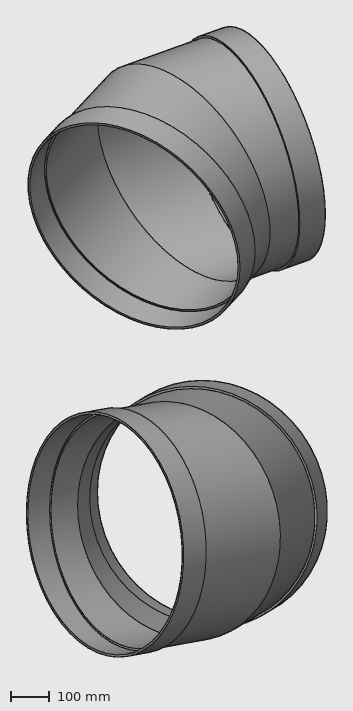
import cadquery as cq
import math

overall_length = 721.5
bend_angle = 30.0
collar_diameter = 642.0
pipe_diameter = 630.0
bore_diameter = 618.0
socket_diameter = pipe_diameter
collar_length = 76.0
socket_depth = 73.0

bend = math.radians(bend_angle)
leg_length = (overall_length - collar_diameter / 2 * (1 + math.cos(bend))) / math.sin(bend)
miter_rise = pipe_diameter / 2 * math.tan(bend / 2)
blank_length = leg_length + 2 * miter_rise


def cylinder_along_y(diameter, length):
    """Solid cylinder from the XZ plane toward +Y."""
    return cq.Workplane("XZ").circle(diameter / 2).extrude(-length)


def miter_cutter():
    """Block covering everything past the miter plane, which runs through the axis crossing."""
    size = 2 * overall_length
    return (
        cq.Workplane("XY")
        .box(size, size, size)
        .translate((0, leg_length + size / 2, 0))
        .rotate((0, leg_length, 0), (0, leg_length, 1), -bend_angle / 2)
    )


def pipe_segment():
    """Pipe with a socket collar at Y = 0 and a mitred far end."""
    pipe = cylinder_along_y(pipe_diameter, blank_length)
    collar = cylinder_along_y(collar_diameter, collar_length)
    bore = cylinder_along_y(bore_diameter, blank_length)
    socket = cylinder_along_y(socket_diameter, socket_depth)
    return pipe.union(collar).cut(bore).cut(socket).cut(miter_cutter())


def turned_segment():
    """Same segment mirrored across the miter plane to form the outlet leg."""
    half_bend = bend / 2
    miter_normal = cq.Vector(math.sin(half_bend), math.cos(half_bend), 0)
    return pipe_segment().mirror(miter_normal, (0, leg_length, 0))


segments = [pipe_segment(), turned_segment()]
result = cq.Compound.makeCompound([segment.val() for segment in segments])